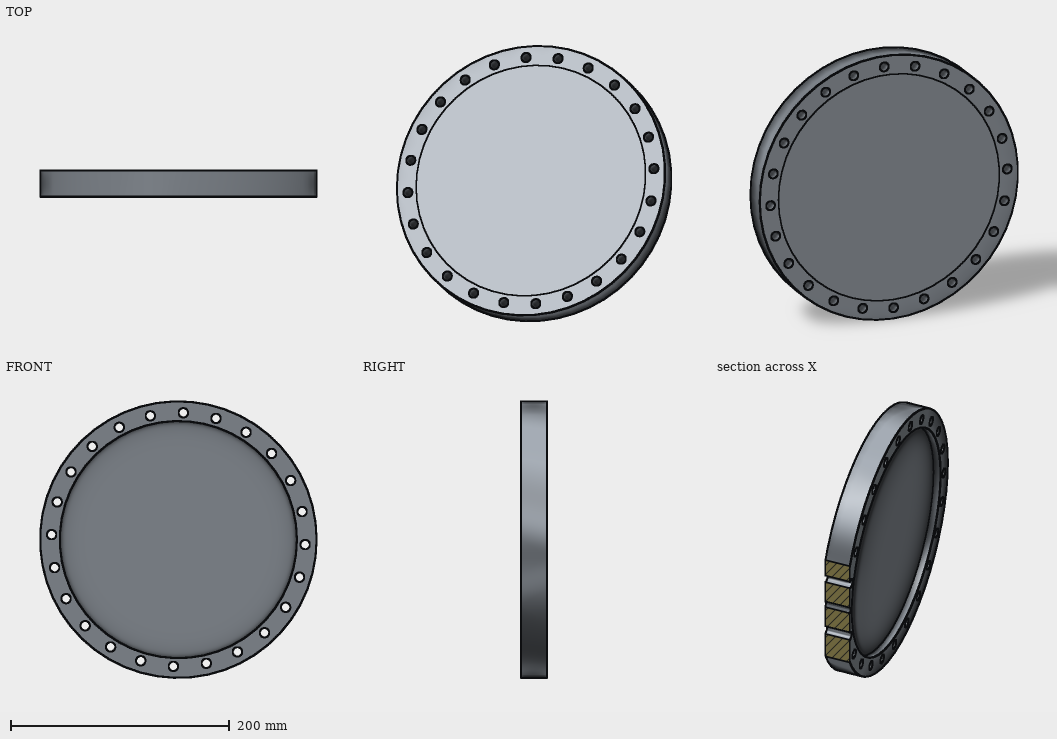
import cadquery as cq

ring_diameter = 253.0
ring_thickness = 24.5
bore_diameter = 216.0
edge_chamfer = 0.5

bolt_count = 24
bolt_circle_diameter = 231.7
bolt_hole_diameter = 8.3
bolt_hole_chamfer = 0.3
first_bolt_angle = -2.25

disc_recess = 7.0
disc_thickness = ring_thickness - disc_recess

back_y = ring_thickness / 2.0


def back_plane():
    """Workplane on the back face; extrusions from it run toward -Y."""
    return cq.Workplane("XZ", origin=(0, back_y, 0))


def cut_bolt_holes(body):
    """Through holes on the bolt circle, chamfered at both ends."""
    pins = (
        back_plane()
        .polarArray(bolt_circle_diameter / 2.0, first_bolt_angle, 360.0, bolt_count)
        .circle(bolt_hole_diameter / 2.0)
        .extrude(ring_thickness)
    )
    hole_edges = cq.selectors.RadiusNthSelector(0)
    return body.cut(pins).edges("%CIRCLE").edges(hole_edges).chamfer(bolt_hole_chamfer)


def make_flange_ring():
    body = back_plane().circle(ring_diameter / 2.0).extrude(ring_thickness)
    body = body.edges("%CIRCLE").chamfer(edge_chamfer)

    bore = back_plane().circle(bore_diameter / 2.0).extrude(ring_thickness)
    bore_edge = cq.selectors.RadiusNthSelector(0)
    body = body.cut(bore).faces("<Y").edges(bore_edge).chamfer(edge_chamfer)

    return cut_bolt_holes(body)


def make_blank_disc():
    return back_plane().circle(bore_diameter / 2.0).extrude(disc_thickness)


flange_ring = make_flange_ring()
blank_disc = make_blank_disc()

result = cq.Compound.makeCompound([flange_ring.val(), blank_disc.val()])